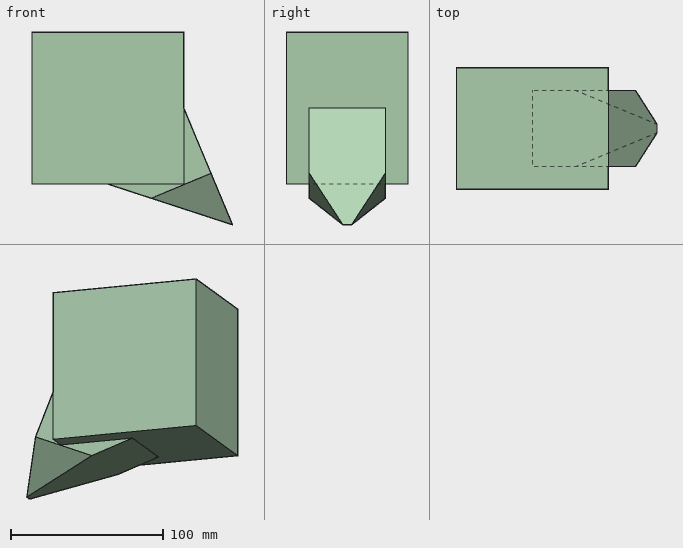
import cadquery as cq
import math

block_side = 100.0
block_depth = 80.0

tip_overhang = 32.1
tip_drop = 26.8
claw_width = 50.0
tip_width = 5.5
taper_length = 36.8

claw_top = (0, block_side / 2)
claw_back = (-block_side / 2, 0)
claw_tip = (tip_overhang, -tip_drop)


def make_block():
    return cq.Workplane("XY").box(
        block_side, block_depth, block_side, centered=(False, True, False)
    ).translate((-block_side, 0, 0))


def make_claw():
    """Triangular plate narrowed in width toward its tip, measured along the front face."""
    plate = (
        cq.Workplane("XZ")
        .polyline([claw_top, claw_back, claw_tip])
        .close()
        .extrude(claw_width / 2, both=True)
    )
    rise = claw_top[1] - claw_tip[1]
    run = claw_top[0] - claw_tip[0]
    front_length = math.hypot(run, rise)
    front_face = cq.Plane(
        origin=(claw_tip[0], 0, claw_tip[1]),
        xDir=(run, 0, rise),
        normal=(-rise, 0, run),
    )
    tapered_outline = (
        cq.Workplane(front_face)
        .polyline([
            (0, -tip_width / 2),
            (taper_length, -claw_width / 2),
            (front_length, -claw_width / 2),
            (front_length, claw_width / 2),
            (taper_length, claw_width / 2),
            (0, tip_width / 2),
        ])
        .close()
        .extrude(block_side)
    )
    return plate.intersect(tapered_outline)


result = make_block().union(make_claw())